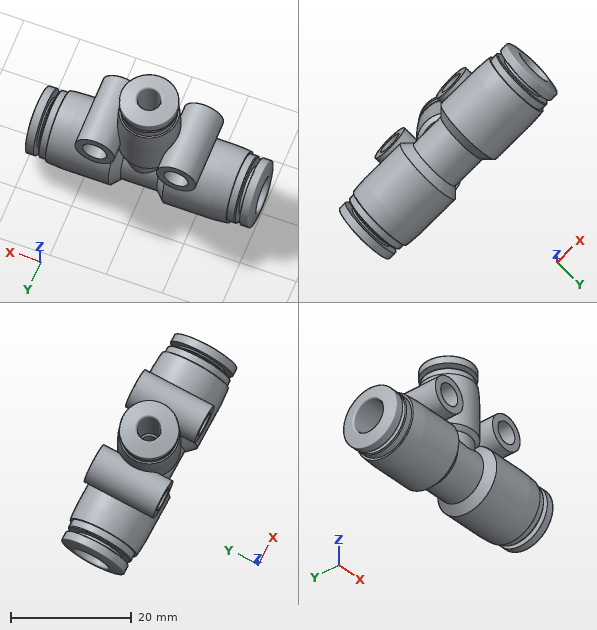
import cadquery as cq


RUN_END = 20.3
RUN_BODY_D = 13.0
RUN_BODY_TIP_D = 12.55
RUN_CAP_D = 11.8
RUN_COLLAR_D = 8.35
RUN_MOUTH_D = 7.0
RUN_SOCKET_D = 6.35
RUN_WAIST_D = 9.9
RUN_SHOULDER = 4.8

BRANCH_END = 20.0
BRANCH_BODY_D = 10.5
BRANCH_BODY_TIP_D = 10.1
BRANCH_CAP_D = 9.9
BRANCH_SLEEVE_D = 9.5
BRANCH_COLLAR_D = 5.97
BRANCH_MOUTH_D = 4.65
BRANCH_SOCKET_D = 3.97
BRANCH_WAIST_D = 8.9
BRANCH_SHOULDER = 5.6

CAP_RIM = 0.58
CAP_BACK = 1.95
COLLAR_FLARE = 2.25
SLEEVE_TIP = 2.75
SLEEVE_BASE = 4.2
BODY_TAPER = 7.15

DOME_DROP = 0.45
DOME_BULGE = 0.03
RIM_ROUND = 0.15
SLEEVE_CHAMFER_LENGTH = 0.2
SLEEVE_CHAMFER_DEPTH = 0.15
FLARE_RISE = 0.15

SOCKET_DEPTH = 13.0
PASSAGE_D = 3.2

BOSS_D = 7.0
BOSS_HOLE_D = 4.3
BOSS_X = 7.25
BOSS_Z = 8.2
BOSS_LENGTH = RUN_BODY_D


def port(end, body_d, body_tip_d, sleeve_d, cap_d, collar_d, mouth_d, waist_d, shoulder):
    """Solid port revolved about Z, from the origin up to the domed cap face."""
    body_r = body_d / 2
    body_tip_r = body_tip_d / 2
    sleeve_r = sleeve_d / 2
    cap_r = cap_d / 2
    collar_r = collar_d / 2
    mouth_r = mouth_d / 2
    waist_r = waist_d / 2

    waist_end = shoulder - (body_r - waist_r)

    taper_mid = (body_r - (body_r - body_tip_r) / 4, end - (BODY_TAPER + SLEEVE_BASE) / 2)

    dome_edge_r = cap_r - RIM_ROUND
    dome_mid = ((dome_edge_r + mouth_r) / 2, end - DOME_DROP / 2 + DOME_BULGE)

    profile = (
        cq.Workplane("XZ")
        .lineTo(waist_r, 0)
        .lineTo(waist_r, waist_end)
        .lineTo(body_r, shoulder)
        .lineTo(body_r, end - BODY_TAPER)
        .threePointArc(taper_mid, (body_tip_r, end - SLEEVE_BASE))
        .lineTo(sleeve_r, end - SLEEVE_BASE)
        .lineTo(sleeve_r, end - SLEEVE_TIP - SLEEVE_CHAMFER_LENGTH)
        .lineTo(sleeve_r - SLEEVE_CHAMFER_DEPTH, end - SLEEVE_TIP)
        .lineTo(collar_r, end - SLEEVE_TIP)
        .lineTo(collar_r, end - COLLAR_FLARE)
        .lineTo(collar_r + FLARE_RISE, end - CAP_BACK)
        .lineTo(cap_r, end - CAP_BACK)
        .lineTo(cap_r, end - CAP_RIM)
        .tangentArcPoint((dome_edge_r, end - DOME_DROP), relative=False)
        .threePointArc(dome_mid, (mouth_r, end))
        .lineTo(0, end)
        .close()
    )
    return profile.revolve(360, (0, 0), (0, 1))


def port_bore(end, mouth_d, socket_d):
    """Cutter about Z: flow passage, tube socket and rounded mouth."""
    passage_r = PASSAGE_D / 2
    mouth_r = mouth_d / 2
    socket_r = socket_d / 2
    socket_floor = end - SOCKET_DEPTH
    profile = (
        cq.Workplane("XZ")
        .lineTo(passage_r, 0)
        .lineTo(passage_r, socket_floor)
        .lineTo(socket_r, socket_floor)
        .lineTo(socket_r, end - (mouth_r - socket_r))
        .tangentArcPoint((mouth_r, end), relative=False)
        .lineTo(0, end)
        .close()
    )
    return profile.revolve(360, (0, 0), (0, 1))


def along_x(shape, side):
    """Turn a shape built along +Z so that it points along +X (side 1) or -X (side -1)."""
    return shape.rotate((0, 0, 0), (0, 1, 0), side * 90)


def boss_cylinder(diameter, side):
    """Cylinder parallel to Y, centred on a mounting boss."""
    return (
        cq.Workplane("XZ")
        .workplane(offset=-BOSS_LENGTH / 2)
        .center(side * BOSS_X, BOSS_Z)
        .circle(diameter / 2)
        .extrude(BOSS_LENGTH)
    )


run_port = port(
    RUN_END, RUN_BODY_D, RUN_BODY_TIP_D, RUN_CAP_D, RUN_CAP_D,
    RUN_COLLAR_D, RUN_MOUTH_D, RUN_WAIST_D, RUN_SHOULDER,
)
branch_port = port(
    BRANCH_END, BRANCH_BODY_D, BRANCH_BODY_TIP_D, BRANCH_SLEEVE_D, BRANCH_CAP_D,
    BRANCH_COLLAR_D, BRANCH_MOUTH_D, BRANCH_WAIST_D, BRANCH_SHOULDER,
)
run_bore = port_bore(RUN_END, RUN_MOUTH_D, RUN_SOCKET_D)
branch_bore = port_bore(BRANCH_END, BRANCH_MOUTH_D, BRANCH_SOCKET_D)

SIDES = (-1, 1)

fitting = branch_port
for side in SIDES:
    fitting = fitting.union(along_x(run_port, side))
    fitting = fitting.union(boss_cylinder(BOSS_D, side))

fitting = fitting.cut(branch_bore)
for side in SIDES:
    fitting = fitting.cut(along_x(run_bore, side))
    fitting = fitting.cut(boss_cylinder(BOSS_HOLE_D, side))

result = fitting